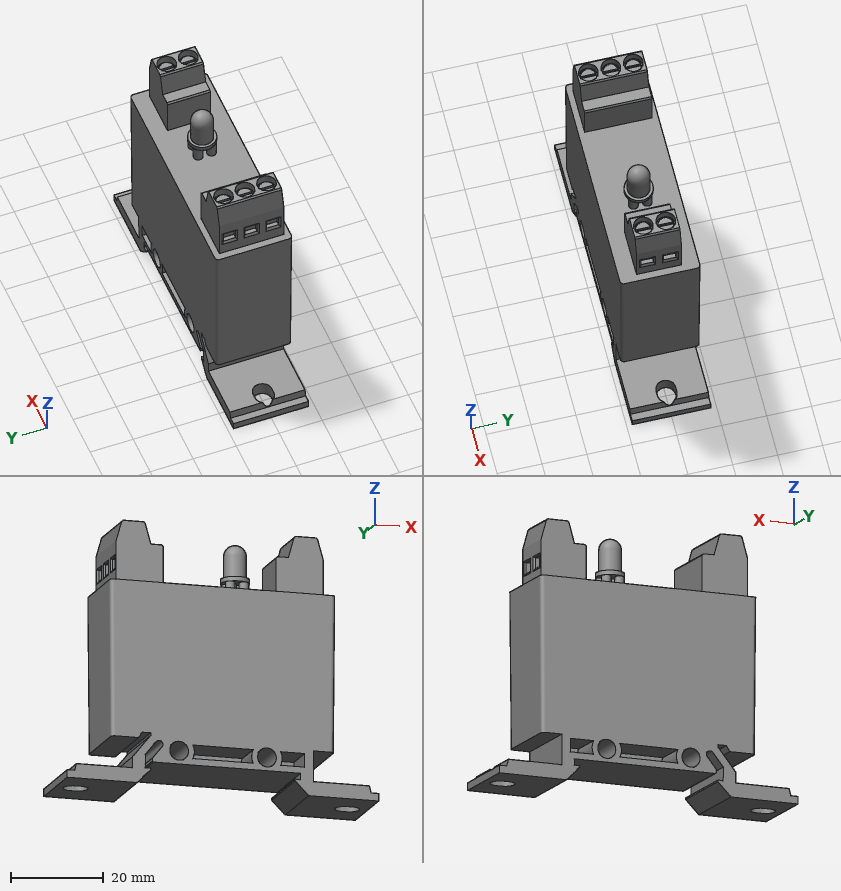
import cadquery as cq
import math

TOP_LENGTH = 50.8
TOP_WIDTH = 17.8
HOUSING_TOP = 45.05
HOUSING_BOTTOM = 10.05
SIDE_INSET = 0.175
END_INSET = 0.3
CORNER_RADIUS = 0.85

OVERALL_LENGTH = 70.4
BASE_WIDTH = TOP_WIDTH - 2 * SIDE_INSET
HALF_LENGTH = OVERALL_LENGTH / 2
LIP_HEIGHT = 1.7
LIP_LENGTH = 1.7
FOOT_HEIGHT = 3.25
FOOT_STEP_RUN = 0.4
LEG_OUTER_X = 20.5
LEG_INNER_X = 17.5
RAIL_FACE_Z = 4.85
HOOK_TIP_X = 16.25
HOOK_TOP_Z = 3.45
HOOK_TIP_HEIGHT = 0.35
WEB_TOP = HOUSING_BOTTOM + 2.8

ARM_SLOPE = math.tan(math.radians(51))
ARM_BEND_Z = 5.6
ARM_ROOT_X = -16.3
ARM_ROOT_Z = ARM_BEND_Z + (ARM_ROOT_X + LEG_OUTER_X) * ARM_SLOPE
SLOT_END_X = -14.4
SLOT_END_Z = 8.95
SLOT_RADIUS = 0.85
SLOT_MOUTH_X = -15.9
SLOT_MOUTH_CHAMFER = 0.2
NOTCH_TOP = 11.3
NOTCH_LEFT_X = -19.1
NOTCH_TOP_LEFT_X = -18.2

HOLE_X = 9.9
HOLE_Z = 7.8
HOLE_RADIUS = 2.1
HOLE_WALL = 1.35
POCKET_HEIGHT = 3.0
POCKET_END_X = 18.45
POCKET_WEB = 1.4

MOUNT_SLOT_X = 30.7
MOUNT_SLOT_LENGTH = 5.5
MOUNT_SLOT_WIDTH = 4.3

POLE_PITCH = 5.0
TERMINAL_OUTER_X = 23.8
TERMINAL_INNER_X = 13.1
TERMINAL_TOP = 58.7
SHOULDER_Z = 53.9
CROWN_OUTER_X = 22.5
CROWN_INNER_X = 17.2
LEDGE_OUTER_X = 15.9
LEDGE_Z = 53.8
EDGE_CHAMFER = 0.35
SCREW_X = 19.85
SCREW_BORE_RADIUS = 2.1
SCREW_BORE_DEPTH = 1.55
SCREW_RADIUS = 1.75
SCREW_GAP_DEPTH = 0.35
DRIVER_SLOT_WIDTH = 0.5
DRIVER_SLOT_DEPTH = 0.55
WIRE_MOUTH_WIDTH = 3.6
WIRE_MOUTH_HEIGHT = 3.3
WIRE_MOUTH_Z = 49.4
WIRE_MOUTH_PITCH = 5.1
WIRE_THROAT_WIDTH = 2.8
WIRE_THROAT_HEIGHT = 2.45
WIRE_THROAT_Z = 49.55
WIRE_MOUTH_DEPTH = 0.35
WIRE_THROAT_DEPTH = 1.0

LAMP_X = 5.35
LAMP_RADIUS = 5.0 / 2
LAMP_TOP = 56.85
FLANGE_RADIUS = 3.2
FLANGE_BOTTOM = 48.3
FLANGE_THICKNESS = 1.0
POST_OFFSET = 1.55
POST_RADIUS = 1.05
CORE_RADIUS = 0.35


def extrude_along_y(profile, width):
    """Extrude an XZ profile so that it is centred on Y = 0."""
    return profile.extrude(width / 2, both=True)


def make_housing():
    height = HOUSING_TOP - HOUSING_BOTTOM
    bottom_length = TOP_LENGTH - 2 * END_INSET
    bottom_width = TOP_WIDTH - 2 * SIDE_INSET * height / HOUSING_TOP
    lower = cq.Sketch().rect(bottom_length, bottom_width).vertices().fillet(CORNER_RADIUS)
    upper = cq.Sketch().rect(TOP_LENGTH, TOP_WIDTH).vertices().fillet(CORNER_RADIUS)
    housing = (
        cq.Workplane("XY").workplane(offset=HOUSING_BOTTOM)
        .placeSketch(lower, upper.moved(cq.Location(cq.Vector(0, 0, height))))
        .loft()
    )
    arm_entry_x = ARM_ROOT_X - (ARM_ROOT_Z - HOUSING_BOTTOM) / ARM_SLOPE
    notch = cq.Workplane("XZ").polyline([
        (NOTCH_LEFT_X, HOUSING_BOTTOM),
        (NOTCH_TOP_LEFT_X, NOTCH_TOP),
        (ARM_ROOT_X, NOTCH_TOP),
        (ARM_ROOT_X, ARM_ROOT_Z),
        (arm_entry_x, HOUSING_BOTTOM),
    ]).close()
    return housing.cut(extrude_along_y(notch, TOP_WIDTH))


def make_base():
    arm_angle = math.atan(ARM_SLOPE)
    side_x = SLOT_RADIUS * math.sin(arm_angle)
    side_z = SLOT_RADIUS * math.cos(arm_angle)
    slot_left = (SLOT_END_X - side_x, SLOT_END_Z + side_z)
    slot_right = (SLOT_END_X + side_x, SLOT_END_Z - side_z)
    slot_tip = (SLOT_END_X + side_z, SLOT_END_Z + side_x)
    left_bend_z = slot_left[1] - (slot_left[0] + LEG_INNER_X) * ARM_SLOPE
    right_bend_z = slot_right[1] - (slot_right[0] - SLOT_MOUTH_X) * ARM_SLOPE

    hook_low_z = HOOK_TOP_Z - HOOK_TIP_HEIGHT
    hook_root_x = HOOK_TIP_X + hook_low_z
    lip_x = HALF_LENGTH - LIP_LENGTH
    foot_top_x = lip_x - FOOT_STEP_RUN

    profile = (
        cq.Workplane("XZ")
        .moveTo(-HALF_LENGTH, 0)
        .lineTo(-hook_root_x, 0)
        .lineTo(-HOOK_TIP_X, hook_low_z)
        .lineTo(-HOOK_TIP_X, HOOK_TOP_Z)
        .lineTo(-LEG_INNER_X, HOOK_TOP_Z)
        .lineTo(-LEG_INNER_X, left_bend_z)
        .lineTo(*slot_left)
        .threePointArc(slot_tip, slot_right)
        .lineTo(SLOT_MOUTH_X, right_bend_z)
        .lineTo(SLOT_MOUTH_X, RAIL_FACE_Z + SLOT_MOUTH_CHAMFER)
        .lineTo(SLOT_MOUTH_X + SLOT_MOUTH_CHAMFER, RAIL_FACE_Z)
        .lineTo(LEG_INNER_X, RAIL_FACE_Z)
        .lineTo(LEG_INNER_X, HOOK_TOP_Z)
        .lineTo(HOOK_TIP_X, HOOK_TOP_Z)
        .lineTo(HOOK_TIP_X, hook_low_z)
        .lineTo(hook_root_x, 0)
        .lineTo(HALF_LENGTH, 0)
        .lineTo(HALF_LENGTH, LIP_HEIGHT)
        .lineTo(lip_x, LIP_HEIGHT)
        .lineTo(foot_top_x, FOOT_HEIGHT)
        .lineTo(LEG_OUTER_X, FOOT_HEIGHT)
        .lineTo(LEG_OUTER_X, WEB_TOP)
        .lineTo(ARM_ROOT_X, WEB_TOP)
        .lineTo(ARM_ROOT_X, ARM_ROOT_Z)
        .lineTo(-LEG_OUTER_X, ARM_BEND_Z)
        .lineTo(-LEG_OUTER_X, FOOT_HEIGHT)
        .lineTo(-foot_top_x, FOOT_HEIGHT)
        .lineTo(-lip_x, LIP_HEIGHT)
        .lineTo(-HALF_LENGTH, LIP_HEIGHT)
        .close()
    )
    drafted_sides = (
        cq.Workplane("XY")
        .rect(OVERALL_LENGTH, BASE_WIDTH)
        .workplane(offset=HOUSING_TOP)
        .rect(OVERALL_LENGTH, TOP_WIDTH)
        .loft(ruled=True)
    )
    return extrude_along_y(profile, TOP_WIDTH).intersect(drafted_sides)


def make_base_cutters():
    """Cross holes, side pockets and foot slots."""
    hole_points = [(-HOLE_X, HOLE_Z), (HOLE_X, HOLE_Z)]
    hole_circles = cq.Workplane("XZ").pushPoints(hole_points)
    holes = extrude_along_y(hole_circles.circle(HOLE_RADIUS), TOP_WIDTH)

    pocket_length = POCKET_END_X + HOLE_X
    pocket_center_x = (POCKET_END_X - HOLE_X) / 2
    pockets = (
        cq.Workplane("XY")
        .box(pocket_length, TOP_WIDTH, POCKET_HEIGHT)
        .translate((pocket_center_x, 0, HOLE_Z))
    )
    rings = extrude_along_y(
        cq.Workplane("XZ").pushPoints(hole_points).circle(HOLE_RADIUS + HOLE_WALL), TOP_WIDTH
    )
    web = cq.Workplane("XY").box(OVERALL_LENGTH, POCKET_WEB, HOUSING_TOP)
    pockets = pockets.cut(rings).cut(web)

    foot_slots = (
        cq.Workplane("XY")
        .pushPoints([(-MOUNT_SLOT_X, 0), (MOUNT_SLOT_X, 0)])
        .slot2D(MOUNT_SLOT_LENGTH, MOUNT_SLOT_WIDTH)
        .extrude(FOOT_HEIGHT)
    )
    return holes.union(pockets).union(foot_slots)


def make_screw_recess(y):
    """Bore, ring gap round the screw head and driver slot for one pole."""
    floor_z = TERMINAL_TOP - SCREW_BORE_DEPTH
    center = cq.Workplane("XY").workplane(offset=floor_z).center(-SCREW_X, y)
    bore = center.circle(SCREW_BORE_RADIUS).extrude(SCREW_BORE_DEPTH)
    gap = center.circle(SCREW_BORE_RADIUS).circle(SCREW_RADIUS).extrude(-SCREW_GAP_DEPTH)
    driver_slot = center.rect(DRIVER_SLOT_WIDTH, 2 * SCREW_RADIUS).extrude(-DRIVER_SLOT_DEPTH)
    return bore.union(gap).union(driver_slot)


def make_wire_entry(pole):
    """Funnel and blind throat for one pole, opening towards -X."""
    mouth_y = pole * WIRE_MOUTH_PITCH
    throat_y = pole * POLE_PITCH
    throat_x = -TERMINAL_OUTER_X + WIRE_MOUTH_DEPTH
    funnel = (
        cq.Workplane("YZ", origin=(-TERMINAL_OUTER_X, mouth_y, WIRE_MOUTH_Z))
        .rect(WIRE_MOUTH_WIDTH, WIRE_MOUTH_HEIGHT)
        .workplane(offset=WIRE_MOUTH_DEPTH)
        .center(throat_y - mouth_y, WIRE_THROAT_Z - WIRE_MOUTH_Z)
        .rect(WIRE_THROAT_WIDTH, WIRE_THROAT_HEIGHT)
        .loft(ruled=True)
    )
    throat = (
        cq.Workplane("YZ", origin=(throat_x, throat_y, WIRE_THROAT_Z))
        .rect(WIRE_THROAT_WIDTH, WIRE_THROAT_HEIGHT)
        .extrude(WIRE_THROAT_DEPTH)
    )
    return funnel.union(throat)


def make_terminal(pole_count):
    """Terminal block at the -X end of the housing, wire entries facing -X."""
    profile = cq.Workplane("XZ").polyline([
        (-TERMINAL_OUTER_X, HOUSING_TOP),
        (-TERMINAL_OUTER_X, SHOULDER_Z),
        (-CROWN_OUTER_X, TERMINAL_TOP - EDGE_CHAMFER),
        (-CROWN_OUTER_X + EDGE_CHAMFER, TERMINAL_TOP),
        (-CROWN_INNER_X - EDGE_CHAMFER, TERMINAL_TOP),
        (-CROWN_INNER_X, TERMINAL_TOP - EDGE_CHAMFER),
        (-LEDGE_OUTER_X, LEDGE_Z),
        (-TERMINAL_INNER_X - EDGE_CHAMFER, LEDGE_Z),
        (-TERMINAL_INNER_X, LEDGE_Z - EDGE_CHAMFER),
        (-TERMINAL_INNER_X, HOUSING_TOP),
    ]).close()
    terminal = extrude_along_y(profile, pole_count * POLE_PITCH)
    for index in range(pole_count):
        pole = index - (pole_count - 1) / 2
        terminal = terminal.cut(make_screw_recess(pole * POLE_PITCH))
        terminal = terminal.cut(make_wire_entry(pole))
    return terminal


def make_lamp():
    flange_top = FLANGE_BOTTOM + FLANGE_THICKNESS
    post_height = FLANGE_BOTTOM - HOUSING_TOP
    deck = cq.Workplane("XY").workplane(offset=HOUSING_TOP).center(LAMP_X, 0)
    posts = deck.rect(2 * POST_OFFSET, 2 * POST_OFFSET, forConstruction=True).vertices()
    stand = posts.circle(POST_RADIUS).extrude(post_height)
    core = deck.circle(CORE_RADIUS).extrude(post_height)
    bulb_profile = (
        cq.Workplane("XZ", origin=(LAMP_X, 0, 0))
        .moveTo(0, FLANGE_BOTTOM)
        .lineTo(FLANGE_RADIUS, FLANGE_BOTTOM)
        .lineTo(FLANGE_RADIUS, flange_top)
        .lineTo(LAMP_RADIUS, flange_top)
        .lineTo(LAMP_RADIUS, LAMP_TOP - LAMP_RADIUS)
        .radiusArc((0, LAMP_TOP), -LAMP_RADIUS)
        .close()
    )
    bulb = bulb_profile.revolve(360, (0, 0, 0), (0, 1, 0))
    return bulb.union(stand).union(core)


three_pole_terminal = make_terminal(3)
two_pole_terminal = make_terminal(2).mirror("YZ")

result = (
    make_housing()
    .union(make_base())
    .cut(make_base_cutters())
    .union(three_pole_terminal)
    .union(two_pole_terminal)
    .union(make_lamp())
)